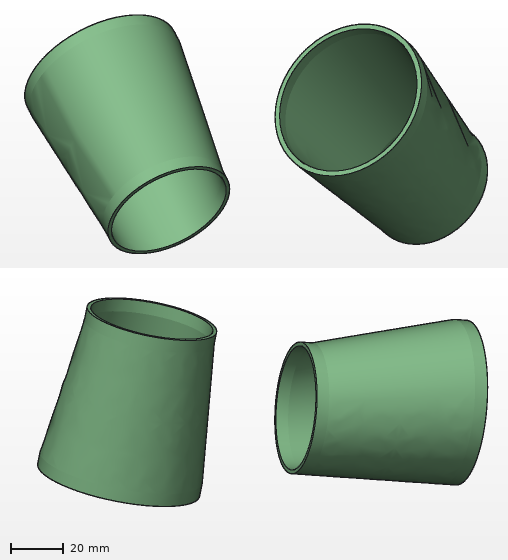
import cadquery as cq

total_length = 67.0
collar_length = 5.0
large_outer_diameter = 63.5
large_inner_diameter = 59.5
small_outer_diameter = 50.8
small_inner_diameter = 47.8

taper_length = total_length - 2 * collar_length
axis_drop = (large_outer_diameter - small_outer_diameter) / 2


def end_circle(x, z, diameter):
    """Circle facing +X, centred at (x, 0, z)."""
    plane = cq.Plane(origin=(x, 0, z), xDir=(0, 1, 0), normal=(1, 0, 0))
    return cq.Workplane(plane).circle(diameter / 2)


def reducer_body(large_diameter, small_diameter):
    """Solid body: large straight collar, eccentric taper, small straight collar."""
    taper_end = collar_length + taper_length
    large_collar = end_circle(0, 0, large_diameter).extrude(collar_length)
    small_collar = end_circle(taper_end, -axis_drop, small_diameter).extrude(collar_length)
    taper = (
        end_circle(collar_length, 0, large_diameter)
        .workplane(offset=taper_length)
        .center(0, -axis_drop)
        .circle(small_diameter / 2)
        .loft(ruled=True)
    )
    return large_collar.union(taper).union(small_collar)


outer_body = reducer_body(large_outer_diameter, small_outer_diameter)
bore = reducer_body(large_inner_diameter, small_inner_diameter)

result = outer_body.cut(bore)